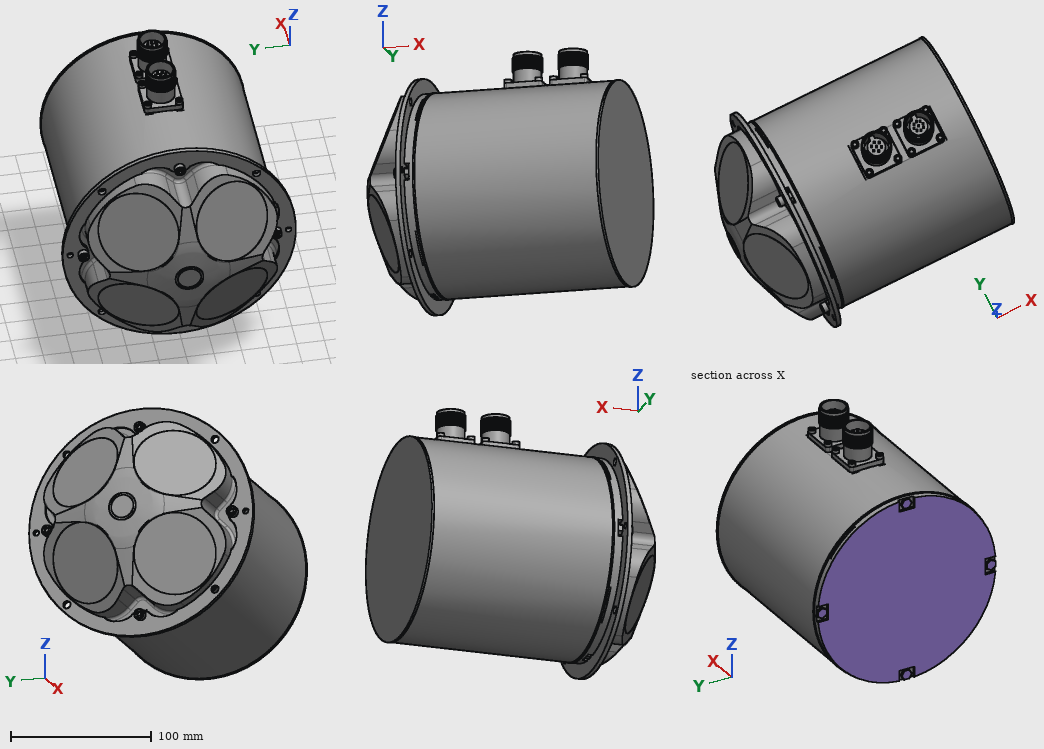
import cadquery as cq
import math

length = 187.0

body_radius = 73.7
rim_radius = 74.0
front_rim_start = 49.7
front_rim_end = 51.0
rear_rim_start = 185.3

flange_radius = 84.5
flange_front = 40.0
flange_back = 43.4
hole_circle_radius = 79.1
corner_hole_diameter = 5.5
side_hole_diameter = 4.1

head_radius = 74.2
head_corner_radius = 20.0
head_corner_angle = 63.4
valley_radius = 6.4
recess_depth = 2.5
boss_margin = 0.2
recess_shoulder = (7.5, 69.5)
recess_crest = (16.0, 72.4)
recess_edge = (27.1, 69.0)
recess_inner = 46.8
base_radius = 77.0
root_fillet = 2.2
nose_radius = 10.1
nose_well_radius = 8.5
nose_well_depth = 0.2
nose_height = 0.5
dome_mid = (21.5, 1.9)
ridge_start = (30.1, 4.3)
ridge_slope = 0.35

face_tilt = 30.0
face_center_radius = 47.9
face_center_x = 17.0
disc_diameter = 58.5
disc_depth = 0.2

screw_circle_radius = 69.8
screw_head_diameter = 7.5
screw_head_height = 4.5
screw_head_chamfer = 0.5
screw_socket = 4.0
screw_socket_depth = 2.2
nut_corners = 8.6
nut_height = 3.4
nut_pocket_width = 12.3
nut_pocket_radius = 65.0

slot_length = 28.0
slot_start = 48.2
slot_floor_radius = 66.5
slot_corner_radius = 2.8

connector_places = (114.3, 148.0)
pad_length = 64.7
pad_height = 72.4
plate_side = 28.0
plate_corner = 2.0
plate_top = 76.5
shell_top = 99.7
shell_diameter = 20.2
bore_diameter = 17.8
bore_floor = 82.3
thread_diameter = 21.5
thread_bottom = 87.3
thread_top = 97.0
thread_count = 5
insert_diameter = 13.0
insert_top = 93.5
key_width = 3.7
plate_screw_offset = 11.5
plate_screw_diameter = 5.2
plate_screw_height = 2.6
plate_screw_socket = 3.2
plate_screw_socket_depth = 1.3
pin_height = 1.9
pin_circle_radius = 3.5
pin_layouts = ((6, 1.3), (8, 1.1))

overlap = 1.0
zone_margin = 0.2


def x_cylinder(radius, start, end):
    return cq.Workplane("YZ").workplane(offset=start).circle(radius).extrude(end - start)


def around_x(shape, angle):
    return shape.rotate((0, 0, 0), (1, 0, 0), angle)


def on_circle(radius, angle):
    turn = math.radians(angle)
    return (radius * math.cos(turn), radius * math.sin(turn))


def turned(point, angle):
    """Turn a YZ point about the main axis."""
    turn = math.radians(angle)
    y, z = point
    return (y * math.cos(turn) - z * math.sin(turn), y * math.sin(turn) + z * math.cos(turn))


def make_housing():
    housing = x_cylinder(body_radius, flange_back, length)
    housing = housing.union(x_cylinder(rim_radius, front_rim_start, front_rim_end))
    return housing.union(x_cylinder(rim_radius, rear_rim_start, length))


def flange_holes():
    """Through holes on the flange rim: four large ones on the diagonals and one on each side."""
    thickness = flange_back - flange_front
    start = cq.Workplane("YZ").workplane(offset=flange_front)
    corner_places = [on_circle(hole_circle_radius, angle) for angle in (45, 135, 225, 315)]
    side_places = [on_circle(hole_circle_radius, angle) for angle in (0, 180)]
    holes = start.pushPoints(corner_places).circle(corner_hole_diameter / 2).extrude(thickness)
    return holes.union(start.pushPoints(side_places).circle(side_hole_diameter / 2).extrude(thickness))


def screw_recess():
    """Shallow pocket between the head wall and the screw at the top of the flange."""
    boss_tip = screw_circle_radius - screw_head_diameter / 2 - boss_margin
    outline = (
        cq.Workplane("YZ").workplane(offset=flange_front)
        .moveTo(-recess_edge[0], recess_inner)
        .lineTo(-recess_edge[0], recess_edge[1])
        .threePointArc((-recess_crest[0], recess_crest[1]), (-recess_shoulder[0], recess_shoulder[1]))
        .threePointArc((0, boss_tip), recess_shoulder)
        .threePointArc(recess_crest, recess_edge)
        .lineTo(recess_edge[0], recess_inner)
        .close()
    )
    return outline.extrude(recess_depth)


def make_head_wall():
    """Four-lobed prism: outer arcs, rounded corners, 45 degree flanks and round valleys."""
    diagonal = math.sqrt(0.5)
    corner_y, corner_z = on_circle(head_radius - head_corner_radius, head_corner_angle)
    crown_end = on_circle(head_radius, head_corner_angle)
    top_turn = math.radians((head_corner_angle + 135) / 2)
    corner_mid = (
        corner_y + head_corner_radius * math.cos(top_turn),
        corner_z + head_corner_radius * math.sin(top_turn),
    )
    flank_top = (corner_y - head_corner_radius * diagonal, corner_z + head_corner_radius * diagonal)
    vertex_z = flank_top[1] - flank_top[0]
    flank_bottom = (valley_radius * diagonal, vertex_z + valley_radius * diagonal)
    valley_bottom = (0, vertex_z + valley_radius * (math.sqrt(2) - 1))

    def mirror(point):
        return (-point[0], point[1])

    wall = cq.Workplane("YZ").moveTo(*crown_end)
    for angle in (0, 90, 180, 270):
        wall = (
            wall.threePointArc(turned(corner_mid, angle), turned(flank_top, angle))
            .lineTo(*turned(flank_bottom, angle))
            .threePointArc(turned(valley_bottom, angle), turned(mirror(flank_bottom), angle))
            .lineTo(*turned(mirror(flank_top), angle))
            .threePointArc(turned(mirror(corner_mid), angle), turned(mirror(crown_end), angle))
            .threePointArc(on_circle(head_radius, angle + 135), turned(crown_end, angle + 90))
        )
    return wall.close().extrude(flange_back)


def make_head_root():
    """Head wall standing on its round base, with a fillet along the whole foot of the wall."""
    recess_floor = flange_front + recess_depth
    root = x_cylinder(base_radius, recess_floor, flange_back).union(make_head_wall())
    foot_zone = cq.selectors.BoxSelector(
        (recess_floor - zone_margin, -base_radius, -base_radius),
        (recess_floor + zone_margin, base_radius, base_radius),
    )
    rim_length = 2 * math.pi * base_radius
    foot = root.edges(foot_zone).filter(lambda edge: edge.Length() < rim_length / 2)
    return foot.fillet(root_fillet)


def make_dome():
    """Nose, dome and ridge cone revolved about the main axis."""
    ridge_end_x = ridge_start[1] + ridge_slope * (flange_radius - ridge_start[0])
    profile = (
        cq.Workplane("XY")
        .moveTo(nose_well_depth, 0)
        .lineTo(nose_well_depth, nose_well_radius)
        .lineTo(0, nose_well_radius)
        .lineTo(0, nose_radius)
        .lineTo(nose_height, nose_radius)
        .threePointArc((dome_mid[1], dome_mid[0]), (ridge_start[1], ridge_start[0]))
        .lineTo(ridge_end_x, flange_radius)
        .lineTo(flange_back, flange_radius)
        .lineTo(flange_back, 0)
        .close()
    )
    return profile.revolve(360, (0, 0, 0), (1, 0, 0))


def face_cutter():
    """Material removed in front of one tilted face, with the disc recess."""
    reach = 3 * disc_diameter
    tilt = math.radians(face_tilt)
    face = cq.Plane(
        origin=(face_center_x, face_center_radius, 0),
        xDir=(0, 0, 1),
        normal=(-math.cos(tilt), math.sin(tilt), 0),
    )
    space = cq.Workplane(face).rect(reach, reach).extrude(reach)
    disc = cq.Workplane(face).circle(disc_diameter / 2).extrude(-disc_depth)
    return space.union(disc)


def make_head():
    head = make_head_root().intersect(make_dome())
    for angle in (45, 135, 225, 315):
        head = head.cut(around_x(face_cutter(), angle))
    return head


def head_screw():
    """Socket screw on the flange at the top of the screw circle."""
    screw = cq.Workplane("YZ").workplane(offset=flange_front - screw_head_height)
    screw = screw.center(0, screw_circle_radius)
    head = screw.circle(screw_head_diameter / 2).extrude(screw_head_height + recess_depth)
    head = head.faces("<X").chamfer(screw_head_chamfer)
    return head.cut(screw.polygon(6, screw_socket).extrude(screw_socket_depth))


def nut_pocket():
    height = rim_radius + overlap - nut_pocket_radius
    pocket = cq.Workplane("YZ").workplane(offset=flange_back)
    pocket = pocket.center(0, nut_pocket_radius + height / 2)
    return pocket.rect(nut_pocket_width, height).extrude(nut_height)


def nut():
    hexagon = cq.Workplane("YZ").workplane(offset=flange_back)
    return hexagon.center(0, screw_circle_radius).polygon(6, nut_corners).extrude(nut_height)


def pry_slot():
    height = rim_radius - slot_floor_radius
    slot = cq.Workplane("YZ").workplane(offset=slot_start).center(0, slot_floor_radius + height / 2)
    slot = slot.rect(slot_length, height).extrude(front_rim_start - slot_start)
    return slot.edges("|X and <Z").fillet(slot_corner_radius)


def connector(place, pin_count, pin_diameter):
    def round_post(diameter, bottom, top, spots=((0, 0),)):
        post = cq.Workplane("XY").workplane(offset=bottom).center(place, 0).pushPoints(spots)
        return post.circle(diameter / 2).extrude(top - bottom)

    root = pad_height - overlap
    plate = cq.Workplane("XY").workplane(offset=pad_height).center(place, 0)
    plate = plate.rect(plate_side, plate_side).extrude(plate_top - pad_height)
    plate = plate.edges("|Z").fillet(plate_corner)

    spots = [(x, y) for x in (-plate_screw_offset, plate_screw_offset)
             for y in (-plate_screw_offset, plate_screw_offset)]
    screw_top = plate_top + plate_screw_height
    part = plate.union(round_post(plate_screw_diameter, pad_height, screw_top, spots))
    sockets = round_post(plate_screw_socket, screw_top - plate_screw_socket_depth, screw_top, spots)
    part = part.cut(sockets)

    part = part.union(round_post(shell_diameter, root, shell_top))
    pitch = (thread_top - thread_bottom) / (thread_count - 0.5)
    for turn in range(thread_count):
        ring_bottom = thread_bottom + turn * pitch
        part = part.union(round_post(thread_diameter, ring_bottom, ring_bottom + pitch / 2))

    part = part.cut(round_post(bore_diameter, bore_floor, shell_top))
    part = part.union(round_post(insert_diameter, bore_floor, insert_top))
    key_start = insert_diameter / 2 - overlap
    key_end = bore_diameter / 2 + overlap / 2
    key = cq.Workplane("XY").workplane(offset=bore_floor).center(place, (key_start + key_end) / 2)
    part = part.union(key.rect(key_width, key_end - key_start).extrude(insert_top - bore_floor))

    pins = [(0, 0)]
    pins += [on_circle(pin_circle_radius, 90 + 360 * index / pin_count) for index in range(pin_count)]
    return part.union(round_post(pin_diameter, insert_top - overlap, insert_top + pin_height, pins))


quarter_turns = (0, 90, 180, 270)

front = x_cylinder(flange_radius, flange_front, flange_back)
for angle in quarter_turns:
    front = front.cut(around_x(screw_recess(), angle))
front = front.union(make_head()).cut(flange_holes())

housing = make_housing()
for angle in quarter_turns:
    housing = housing.cut(around_x(nut_pocket(), angle))
    housing = housing.cut(around_x(pry_slot(), angle + 45))

pad_center = sum(connector_places) / len(connector_places)
pad_space = cq.Workplane("XY").workplane(offset=pad_height).center(pad_center, 0)
housing = housing.cut(pad_space.rect(pad_length, body_radius).extrude(rim_radius))

result = housing.union(front)
for angle in quarter_turns:
    result = result.union(around_x(head_screw(), angle))
    result = result.union(around_x(nut(), angle))
for place, (pin_count, pin_diameter) in zip(connector_places, pin_layouts):
    result = result.union(connector(place, pin_count, pin_diameter))